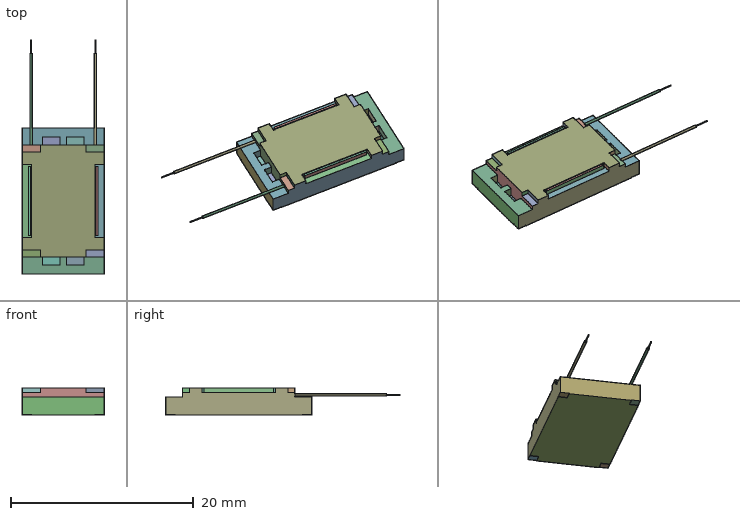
import cadquery as cq

width = 9.0
total_length = 25.65
height = 3.0
front_y = -total_length / 2

foot_height = 0.05
foot_corner = 1.0
base_length = 16.0
base_top = 2.0
base_front = front_y
base_back = base_front + base_length

cover_setback = 1.85
cover_front = base_front + cover_setback
cover_back = base_back - cover_setback
cover_middle = (cover_front + cover_back) / 2
step_height = 2.5
corner_step_width = 2.0
corner_step_length = 0.77
side_notch_depth = 1.0
side_notch_length = 8.0

rib_length = 7.57
rib_thickness = 0.23
rib_gap = 0.08

pocket_inner_x = 0.35
pocket_width = 1.92
pocket_length = 0.85
pocket_depth = 1.0

wire_x = 3.51
wire_z = 2.23
sheath_diameter = 0.28
core_diameter = 0.11
bare_length = 1.5
wire_embed = 0.25


def block(x, y, z):
    """Box spanning the given (low, high) pairs."""
    size_x, size_y, size_z = x[1] - x[0], y[1] - y[0], z[1] - z[0]
    return cq.Workplane("XY").box(size_x, size_y, size_z, centered=False).translate((x[0], y[0], z[0]))


def both_sides(solid):
    """The solid together with its mirror image across X = 0."""
    return solid.union(solid.mirror("YZ"))


def rod(diameter, y_start, y_end):
    """Round rod along +Y on the axis of the right-hand lead."""
    plane = cq.Plane(origin=(wire_x, y_start, wire_z), xDir=(1, 0, 0), normal=(0, 1, 0))
    return cq.Workplane(plane).circle(diameter / 2).extrude(y_end - y_start)


half_width = width / 2
cover_half = half_width - corner_step_width
notch_wall = half_width - side_notch_depth


def make_base():
    base = block((-half_width, half_width), (base_front, base_back), (foot_height, base_top))
    foot_half = half_width - foot_corner
    lengthwise = block((-foot_half, foot_half), (base_front, base_back), (0, foot_height))
    crosswise = block(
        (-half_width, half_width),
        (base_front + foot_corner, base_back - foot_corner),
        (0, foot_height),
    )
    return base.union(lengthwise).union(crosswise)


def make_cover():
    cover = block((-half_width, half_width), (cover_front, cover_back), (base_top, height))
    step_z = (step_height, height)
    for y_range in (
        (cover_front, cover_front + corner_step_length),
        (cover_back - corner_step_length, cover_back),
    ):
        cover = cover.cut(both_sides(block((cover_half, half_width), y_range, step_z)))

    notch_y = (cover_middle - side_notch_length / 2, cover_middle + side_notch_length / 2)
    return cover.cut(both_sides(block((notch_wall, half_width), notch_y, step_z)))


def make_ribs():
    rib_inner = notch_wall + rib_gap
    rib_y = (cover_middle - rib_length / 2, cover_middle + rib_length / 2)
    return both_sides(block((rib_inner, rib_inner + rib_thickness), rib_y, (step_height, height)))


def make_pockets():
    x_range = (pocket_inner_x, pocket_inner_x + pocket_width)
    z_range = (base_top - pocket_depth, base_top)
    front = block(x_range, (cover_front - pocket_length, cover_front), z_range)
    back = block(x_range, (cover_back, cover_back + pocket_length), z_range)
    return both_sides(front.union(back))


def make_wires():
    wire_start = cover_back - wire_embed
    tip_y = front_y + total_length
    sheath = rod(sheath_diameter, wire_start, tip_y - bare_length)
    core = rod(core_diameter, wire_start, tip_y)
    return both_sides(sheath.union(core))


body = make_base().cut(make_pockets())
result = body.union(make_cover()).union(make_ribs()).union(make_wires())